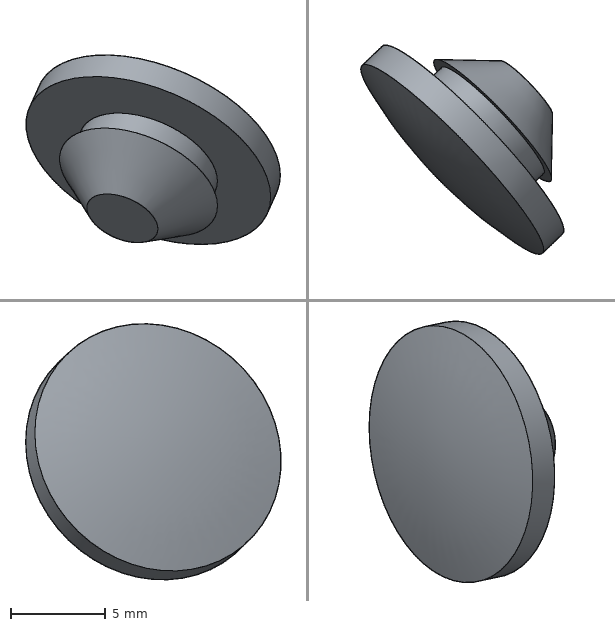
import cadquery as cq

flange_diameter = 13.8
stem_diameter = 7.8
barb_diameter = 8.9
tip_diameter = 4.0

total_length = 6.46
flange_thickness = 1.5
stem_length = 1.5
barb_length = 2.5
dome_rise = total_length - flange_thickness - stem_length - barb_length

barb_y = -stem_length
tip_y = barb_y - barb_length
dome_y = flange_thickness + dome_rise

flange_radius = flange_diameter / 2
dome_radius = (flange_radius**2 + dome_rise**2) / (2 * dome_rise)
dome_mid_y = flange_thickness + dome_rise / 2
dome_center_y = dome_y - dome_radius
dome_mid_x = (dome_radius**2 - (dome_mid_y - dome_center_y) ** 2) ** 0.5

half_section = (
    cq.Workplane("XY")
    .moveTo(0, tip_y)
    .lineTo(tip_diameter / 2, tip_y)
    .lineTo(barb_diameter / 2, barb_y)
    .lineTo(stem_diameter / 2, barb_y)
    .lineTo(stem_diameter / 2, 0)
    .lineTo(flange_radius, 0)
    .lineTo(flange_radius, flange_thickness)
    .threePointArc((dome_mid_x, dome_mid_y), (0, dome_y))
    .close()
)

result = half_section.revolve(360, (0, 0, 0), (0, 1, 0))